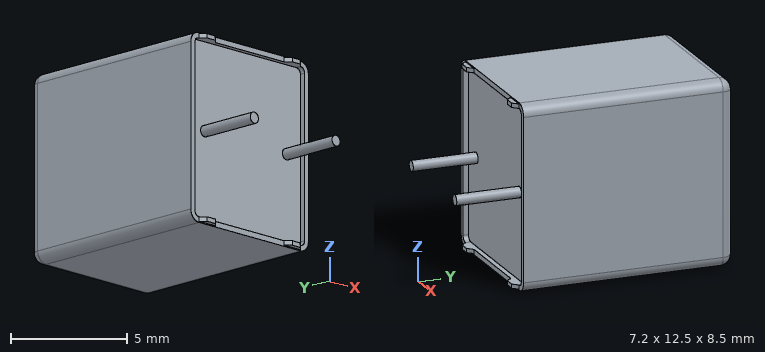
import cadquery as cq

width = 7.2
height = 8.5
total_length = 12.5
body_length = 9.75

edge_radius = 0.5
rim_wall = 0.25
recess_depth = 0.25

tab_width = 1.0
tab_height = 0.25
tab_bevel = 0.25
tab_inset = 0.05
tab_thickness = rim_wall - tab_inset

lead_diameter = 0.5
lead_pitch = 5.0

rim_y = total_length - body_length
floor_y = rim_y + recess_depth
tab_center_x = width / 2 - edge_radius - tab_width / 2
tab_center_z = height / 2 - tab_inset - tab_thickness / 2


def xz_plane(y):
    """Plane across the part at the given Y, extruding toward +Y."""
    return cq.Workplane("XZ", origin=(0, y, 0)).workplane(invert=True)


def make_tab(x, z):
    """Trapezoidal standoff on the rim, narrowing toward its tip."""
    half_base = tab_width / 2
    half_tip = half_base - tab_bevel
    tip_y = rim_y - tab_height
    return (
        cq.Workplane("XY", origin=(x, 0, z))
        .polyline([(-half_base, rim_y), (-half_tip, tip_y), (half_tip, tip_y), (half_base, rim_y)])
        .close()
        .extrude(tab_thickness / 2, both=True)
    )


def make_housing():
    """Rounded block with a shallow recess in the lead end and four tabs on its rim."""
    block = xz_plane(rim_y).rect(width, height).extrude(body_length)
    block = block.edges("|Y").fillet(edge_radius)
    block = block.faces(">Y").edges().fillet(edge_radius)

    recess = xz_plane(rim_y).rect(width - 2 * rim_wall, height - 2 * rim_wall).extrude(recess_depth)
    recess = recess.edges("|Y").fillet(edge_radius - rim_wall)
    housing = block.cut(recess)

    for x in (-tab_center_x, tab_center_x):
        for z in (-tab_center_z, tab_center_z):
            housing = housing.union(make_tab(x, z))
    return housing


def make_lead(x):
    """Round lead standing on the recess floor."""
    return xz_plane(0).center(x, 0).circle(lead_diameter / 2).extrude(floor_y)


housing = make_housing()
leads = [make_lead(x) for x in (-lead_pitch / 2, lead_pitch / 2)]

result = cq.Compound.makeCompound([housing.val(), *[lead.val() for lead in leads]])